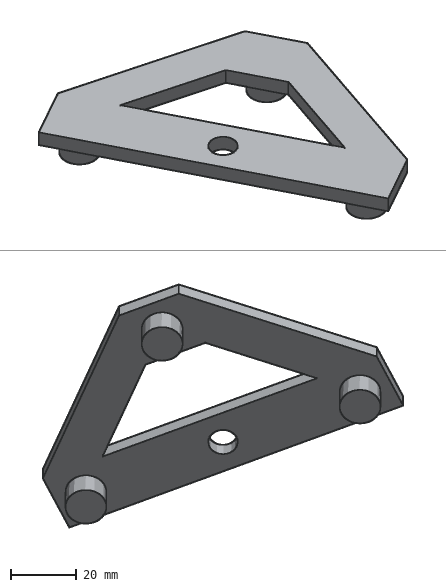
import cadquery as cq

length = 112.0
band = 20.0
plate_thickness = 5.0
peg_height = 8.0
peg_diameter = 12.5
hole_diameter = 9.0

slope_run = (length - band) / 2
depth = band + slope_run
half_length = length / 2
half_band = band / 2
window_half_base = half_length - band
peg_offset = half_length - half_band


def make_plate():
    """Plate with a flat apex and 45-degree sides, underside at Z = 0."""
    outline = [
        (-half_length, 0),
        (half_length, 0),
        (half_length, band),
        (half_band, depth),
        (-half_band, depth),
        (-half_length, band),
    ]
    return cq.Workplane("XY").polyline(outline).close().extrude(plate_thickness)


def make_window():
    """Trapezoidal opening between the base bar and the apex."""
    outline = [
        (-window_half_base, band),
        (window_half_base, band),
        (half_band, depth - band),
        (-half_band, depth - band),
    ]
    return cq.Workplane("XY").polyline(outline).close().extrude(plate_thickness)


def make_hole():
    """Through hole in the middle of the base bar."""
    return (
        cq.Workplane("XY")
        .center(0, half_band)
        .circle(hole_diameter / 2)
        .extrude(plate_thickness)
    )


def make_pegs():
    """Round pegs below the two ends and the apex."""
    centres = [
        (-peg_offset, half_band),
        (peg_offset, half_band),
        (0, depth - half_band),
    ]
    return (
        cq.Workplane("XY")
        .pushPoints(centres)
        .circle(peg_diameter / 2)
        .extrude(-peg_height)
    )


result = make_plate().cut(make_window()).cut(make_hole()).union(make_pegs())